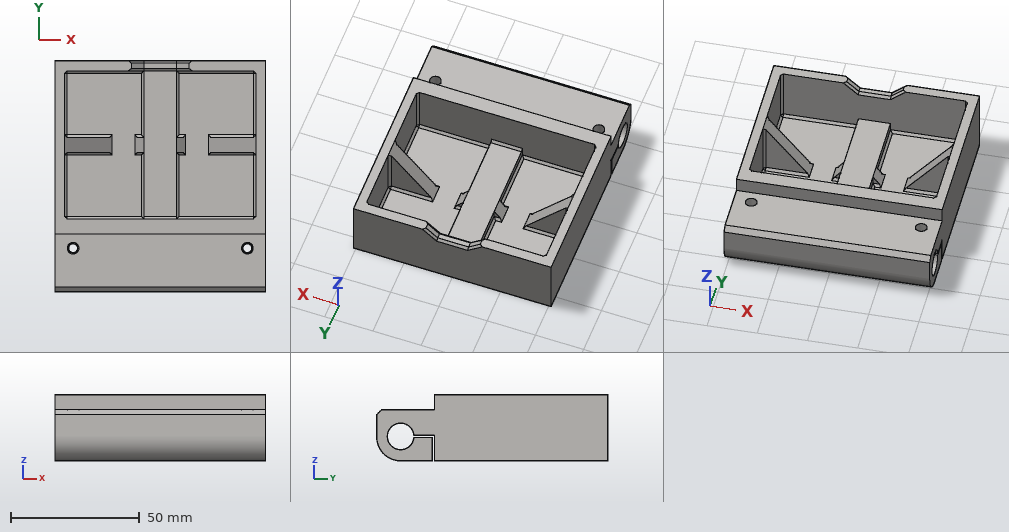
import cadquery as cq

WIDTH = 82.0
LENGTH = 90.0
HEIGHT = 25.8

HINGE_DEPTH = 22.5
HINGE_HEIGHT = 20.0
HINGE_CHAMFER = 2.0
BORE_DIAMETER = 10.3
BORE_Y = 9.4
BORE_Z = 9.5
SLOT_WIDTH = 0.8

SCREW_INSET = 7.1
SCREW_Y = 17.0
CLEARANCE_DIAMETER = 4.5
TAP_DIAMETER = 3.4

SIDE_WALL = 3.8
BACK_WALL = 4.05
FRONT_WALL = 5.9
FLOOR_Z = 4.0
EDGE_CHAMFER = 1.0

BRIDGE_WIDTH = 12.8
BRIDGE_HEIGHT = 4.2
RIB_WIDTH = 5.9
WALL_RIB_RUN = 18.45
BRIDGE_RIB_RUN = 3.4

NOTCH_BOTTOM_WIDTH = 12.8
NOTCH_TOP_WIDTH = 22.5
NOTCH_DEPTH = 4.1

POCKET_HALF_WIDTH = WIDTH / 2 - SIDE_WALL
POCKET_FRONT = HINGE_DEPTH + FRONT_WALL
POCKET_BACK = LENGTH - BACK_WALL
RIB_Y = (POCKET_FRONT + POCKET_BACK) / 2
BRIDGE_HALF_WIDTH = BRIDGE_WIDTH / 2
BRIDGE_TOP = FLOOR_Z + BRIDGE_HEIGHT


def box_between(low, high):
    """Box spanning two opposite corners."""
    size = [end - start for start, end in zip(low, high)]
    return cq.Workplane("XY").box(*size, centered=False).translate(low)


def make_body():
    """Tray block and hinge block as one side profile run across the full width."""
    profile = (
        cq.Workplane("YZ", origin=(-WIDTH / 2, 0, 0))
        .moveTo(LENGTH, 0)
        .lineTo(LENGTH, HEIGHT)
        .lineTo(HINGE_DEPTH, HEIGHT)
        .lineTo(HINGE_DEPTH, HINGE_HEIGHT)
        .lineTo(HINGE_CHAMFER, HINGE_HEIGHT)
        .lineTo(0, HINGE_HEIGHT - HINGE_CHAMFER)
        .lineTo(0, BORE_Y)
        .radiusArc((BORE_Y, 0), -BORE_Y)
        .close()
    )
    return profile.extrude(WIDTH)


def make_clamp_cut():
    """Pin bore with the L-shaped slot that opens it to the underside."""
    left, right = -WIDTH / 2, WIDTH / 2
    slot_top = BORE_Z + SLOT_WIDTH / 2
    bore = (
        cq.Workplane("YZ", origin=(left, 0, 0))
        .center(BORE_Y, BORE_Z)
        .circle(BORE_DIAMETER / 2)
        .extrude(WIDTH)
    )
    level_slot = box_between((left, BORE_Y, slot_top - SLOT_WIDTH), (right, HINGE_DEPTH, slot_top))
    upright_slot = box_between((left, HINGE_DEPTH - SLOT_WIDTH, 0), (right, HINGE_DEPTH, slot_top))
    return bore.union(level_slot).union(upright_slot)


def make_screw_hole(x):
    """Stepped vertical hole through both jaws of the clamp."""
    tap = cq.Workplane("XY").center(x, SCREW_Y).circle(TAP_DIAMETER / 2).extrude(HINGE_HEIGHT)
    clearance = (
        cq.Workplane("XY", origin=(0, 0, BORE_Z))
        .center(x, SCREW_Y)
        .circle(CLEARANCE_DIAMETER / 2)
        .extrude(HINGE_HEIGHT - BORE_Z)
    )
    return tap.union(clearance)


def make_chamber(y_start, y_end):
    """One corner chamber of the pocket on the +X side, with chamfered wall corners and floor edges."""
    chamber = box_between(
        (BRIDGE_HALF_WIDTH, y_start, FLOOR_Z),
        (POCKET_HALF_WIDTH, y_end, HEIGHT),
    )
    return chamber.edges("(|Z and >X) or <Z").chamfer(EDGE_CHAMFER)


def make_rib_gap():
    """Space over the two sloped ribs on the +X side, from the bridge to the wall."""
    half_width = RIB_WIDTH / 2 + EDGE_CHAMFER
    outline = [
        (BRIDGE_HALF_WIDTH, HEIGHT),
        (BRIDGE_HALF_WIDTH, BRIDGE_TOP),
        (BRIDGE_HALF_WIDTH + BRIDGE_RIB_RUN, FLOOR_Z),
        (POCKET_HALF_WIDTH - WALL_RIB_RUN, FLOOR_Z),
        (POCKET_HALF_WIDTH, HEIGHT),
    ]
    return (
        cq.Workplane("XZ", origin=(0, RIB_Y, 0))
        .polyline(outline)
        .close()
        .extrude(half_width, both=True)
    )


def make_pocket():
    """Pocket cavity: four chambers, the gaps over the ribs and the space over the bridge."""
    half = make_chamber(POCKET_FRONT, RIB_Y - RIB_WIDTH / 2)
    half = half.union(make_chamber(RIB_Y + RIB_WIDTH / 2, POCKET_BACK))
    half = half.union(make_rib_gap())
    reach = BRIDGE_HALF_WIDTH + EDGE_CHAMFER
    over_bridge = box_between((-reach, POCKET_FRONT, BRIDGE_TOP), (reach, POCKET_BACK, HEIGHT))
    over_bridge = over_bridge.edges("<Z and <Y").chamfer(EDGE_CHAMFER)
    return over_bridge.union(half).union(half.mirror("YZ"))


def make_notch():
    """Trapezoidal notch through the back wall, flared by a chamfer at both wall faces."""
    slope = (NOTCH_TOP_WIDTH - NOTCH_BOTTOM_WIDTH) / 2 / NOTCH_DEPTH
    bottom_half = NOTCH_BOTTOM_WIDTH / 2
    top_half = bottom_half + slope * 2 * NOTCH_DEPTH
    bottom_z = HEIGHT - NOTCH_DEPTH
    top_z = HEIGHT + NOTCH_DEPTH
    outline = [(-bottom_half, bottom_z), (bottom_half, bottom_z), (top_half, top_z), (-top_half, top_z)]

    def sweep(start_y, y_travel, z_travel):
        """Notch outline moved along a straight line in the YZ plane."""
        section = cq.Workplane("XZ", origin=(0, start_y, 0)).polyline(outline).close().val()
        return cq.Workplane(cq.Solid.extrudeLinear(section, [], cq.Vector(0, y_travel, z_travel)))

    notch = sweep(POCKET_BACK, BACK_WALL, 0)
    notch = notch.union(sweep(POCKET_BACK + EDGE_CHAMFER, -EDGE_CHAMFER, -EDGE_CHAMFER))
    return notch.union(sweep(LENGTH - EDGE_CHAMFER, EDGE_CHAMFER, -EDGE_CHAMFER))


result = make_body().cut(make_clamp_cut()).cut(make_pocket()).cut(make_notch())
for side in (-1, 1):
    result = result.cut(make_screw_hole(side * (WIDTH / 2 - SCREW_INSET)))